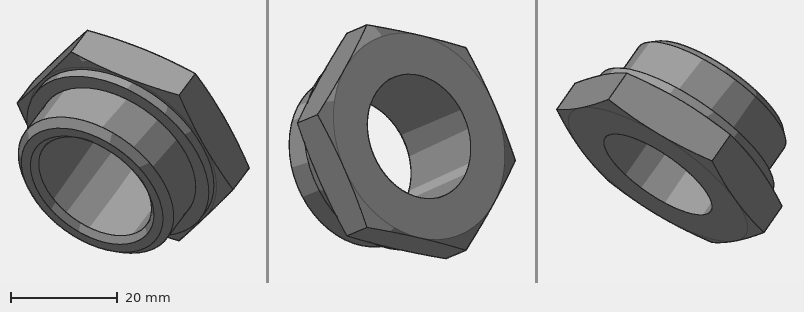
import cadquery as cq
import math

ACROSS_CORNERS = 46.2
ACROSS_FLATS = ACROSS_CORNERS * math.sqrt(3) / 2
TOTAL_LENGTH = 20.0
HEAD_LENGTH = 8.0
SHANK_LENGTH = TOTAL_LENGTH - HEAD_LENGTH
HEAD_CHAMFER_ANGLE = 15.0

SHANK_DIAMETER = 33.25
SHANK_CHAMFER = 1.5
BORE_DIAMETER = 24.1
BORE_CHAMFER = 1.15

RING_OUTER_DIAMETER = 38.9
RING_INNER_DIAMETER = 33.3
RING_THICKNESS = 2.0


def cylinder(diameter, y_start, y_end):
    """Solid cylinder on the Y axis between two Y positions."""
    plane = cq.Workplane("XZ", origin=(0, y_end, 0))
    return plane.circle(diameter / 2).extrude(y_end - y_start)


def make_head():
    """Hexagon with corners on X, its corners turned off conically at both ends."""
    head = (
        cq.Workplane("XZ", origin=(0, HEAD_LENGTH, 0))
        .polygon(6, ACROSS_CORNERS)
        .extrude(HEAD_LENGTH)
    )
    flat_radius = ACROSS_FLATS / 2
    corner_radius = ACROSS_CORNERS / 2
    corner_drop = (corner_radius - flat_radius) * math.tan(math.radians(HEAD_CHAMFER_ANGLE))
    turned_blank = (
        cq.Workplane("XY")
        .moveTo(0, 0)
        .lineTo(flat_radius, 0)
        .lineTo(corner_radius, corner_drop)
        .lineTo(corner_radius, HEAD_LENGTH - corner_drop)
        .lineTo(flat_radius, HEAD_LENGTH)
        .lineTo(0, HEAD_LENGTH)
        .close()
        .revolve(360, (0, 0, 0), (0, 1, 0))
    )
    return head.intersect(turned_blank)


def make_plug():
    """Hex head and chamfered shank with a through bore, chamfered at the shank end."""
    shank = cylinder(SHANK_DIAMETER, -SHANK_LENGTH, 0).faces("<Y").chamfer(SHANK_CHAMFER)
    bore = cylinder(BORE_DIAMETER, -SHANK_LENGTH, HEAD_LENGTH)
    plug = make_head().union(shank).cut(bore)
    bore_edge = plug.faces("<Y").edges(cq.selectors.RadiusNthSelector(0))
    return bore_edge.chamfer(BORE_CHAMFER)


def make_sealing_ring():
    """Flat ring around the shank, seated against the hex head."""
    outer = cylinder(RING_OUTER_DIAMETER, -RING_THICKNESS, 0)
    hole = cylinder(RING_INNER_DIAMETER, -RING_THICKNESS, 0)
    return outer.cut(hole)


plug = make_plug()
sealing_ring = make_sealing_ring()
result = cq.Compound.makeCompound([plug.val(), sealing_ring.val()])